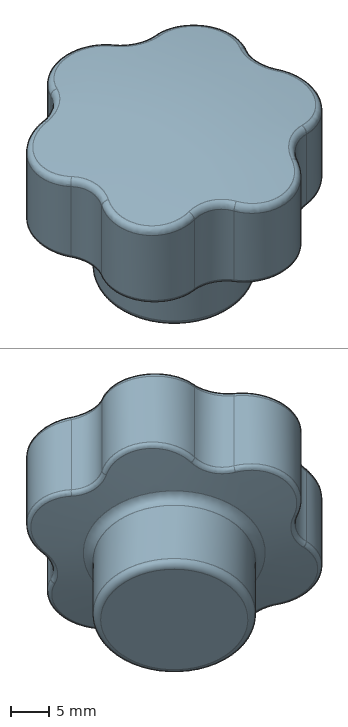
import cadquery as cq
import math

lobe_count = 6
tip_radius = 19.98
lobe_radius = 7.0
valley_radius = 5.0
lobe_pitch = 360.0 / lobe_count
lobe_center = tip_radius - lobe_radius

total_height = 28.05
top_dome_radius = 99.9
underside_dome_radius = 131.85
underside_apex = 11.4
top_round = 1.0
underside_round = 0.65

hub_diameter = 21.3
hub_end_round = 1.0
neck_round = 1.4

half_pitch = math.radians(lobe_pitch / 2)
valley_center = lobe_center * math.cos(half_pitch) + math.sqrt(
    (lobe_radius + valley_radius) ** 2 - (lobe_center * math.sin(half_pitch)) ** 2
)


def polar(radius, degrees):
    angle = math.radians(degrees)
    return radius * math.cos(angle), radius * math.sin(angle)


def tangent_point(lobe_angle, valley_angle):
    """Point where a lobe arc runs into the neighbouring valley arc."""
    lobe_x, lobe_y = polar(lobe_center, lobe_angle)
    valley_x, valley_y = polar(valley_center, valley_angle)
    share = lobe_radius / (lobe_radius + valley_radius)
    return lobe_x + share * (valley_x - lobe_x), lobe_y + share * (valley_y - lobe_y)


def lobed_outline():
    first_lobe = 90.0
    half = lobe_pitch / 2
    outline = cq.Workplane("XY").moveTo(*tangent_point(first_lobe, first_lobe - half))
    for index in range(lobe_count):
        lobe = first_lobe + index * lobe_pitch
        valley = lobe + half
        next_lobe = lobe + lobe_pitch
        outline = outline.threePointArc(polar(tip_radius, lobe), tangent_point(lobe, valley))
        outline = outline.threePointArc(
            polar(valley_center - valley_radius, valley), tangent_point(next_lobe, valley)
        )
    return outline.close()


def dome_sphere(radius, center_height):
    """Sphere with its poles along Y and its seam towards +X, both clear of the head."""
    sphere = cq.Workplane("XY").sphere(radius).rotate((0, 0, 0), (1, 0, 0), 90)
    return sphere.translate((0, 0, center_height))


def make_head():
    head = lobed_outline().extrude(total_height)
    head = head.intersect(dome_sphere(top_dome_radius, total_height - top_dome_radius))
    head = head.intersect(dome_sphere(underside_dome_radius, underside_apex + underside_dome_radius))
    head = head.faces(">Z").edges().fillet(top_round)
    return head.faces("<Z").edges().fillet(underside_round)


def make_hub():
    hub_top = (underside_apex + total_height) / 2
    hub = cq.Workplane("XY").circle(hub_diameter / 2).extrude(hub_top)
    return hub.faces("<Z").edges().fillet(hub_end_round)


def round_neck(knob):
    """Fillet the circle where the hub meets the underside of the head."""
    hub_radius = hub_diameter / 2
    dome_rise = underside_dome_radius - math.sqrt(underside_dome_radius**2 - hub_radius**2)
    neck_height = underside_apex + dome_rise
    reach = hub_radius + 0.4
    margin = 0.2
    neck = cq.selectors.BoxSelector(
        (-reach, -reach, neck_height - margin),
        (reach, reach, neck_height + margin),
        boundingbox=True,
    )
    return knob.edges(neck).fillet(neck_round)


result = round_neck(make_head().union(make_hub()))